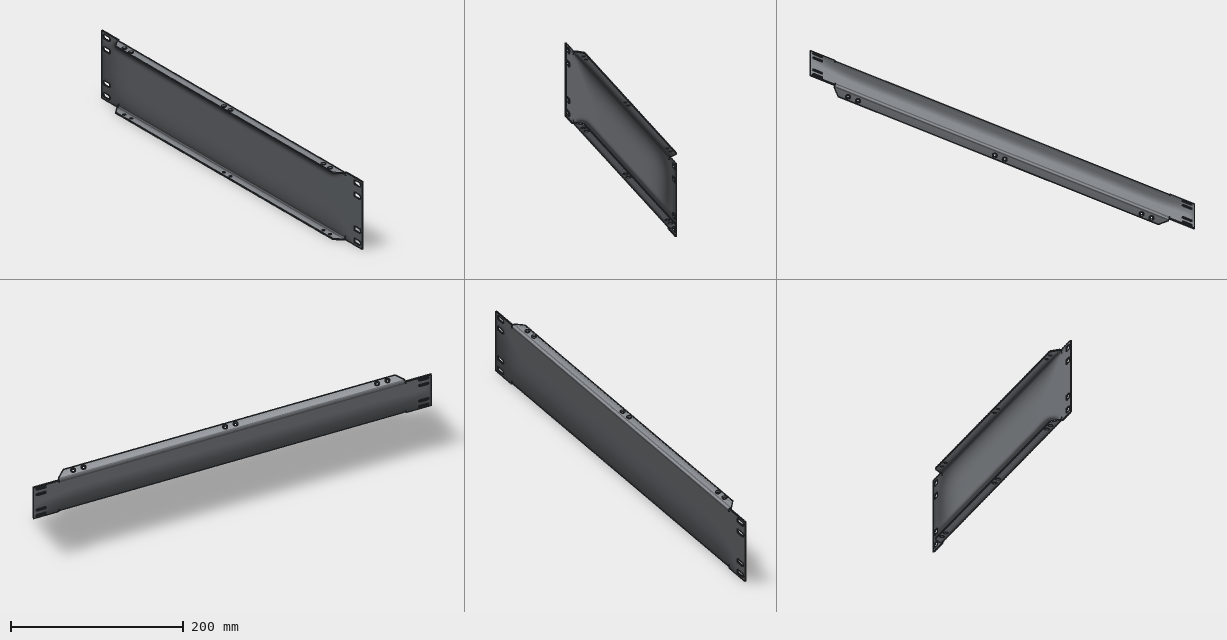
import cadquery as cq

panel_width = 482.5
panel_height = 88.5
flange_reach = 12.5
sheet = 1.5
bend_inner_radius = sheet
bend_outer_radius = bend_inner_radius + sheet

flange_end_inset = 31.5
flange_chamfer = 8.5
flange_length = panel_width - 2 * flange_end_inset

relief_width = 0.5
relief_depth = 4.5

slot_length = 12.0
slot_height = 6.0
slot_corner_radius = 2.0
slot_end_inset = 9.0
slot_levels = (22.0, 38.0)

hole_diameter = 3.15
countersink_diameter = 6.0
countersink_angle = 90
hole_lip_inset = 4.5
pair_spacing = 12.5
outer_pair_offset = 184.5


def make_plate():
    """Full-width flat plate."""
    return cq.Workplane("XY").box(panel_width, sheet, panel_height).translate((0, -sheet / 2, 0))


def make_channel():
    """Bent channel as long as the flanges, with chamfered lip corners."""
    outside = (
        cq.Workplane("XY")
        .box(flange_length, flange_reach, panel_height)
        .translate((0, -flange_reach / 2, 0))
        .edges("|X and >Y")
        .fillet(bend_outer_radius)
        .edges("|Z and <Y")
        .chamfer(flange_chamfer)
    )
    inside = (
        cq.Workplane("XY")
        .box(flange_length, flange_reach, panel_height - 2 * sheet)
        .translate((0, -sheet - flange_reach / 2, 0))
        .edges("|X and >Y")
        .fillet(bend_inner_radius)
    )
    return outside.cut(inside)


def make_end_strips():
    """Flat plate ends beyond the flanges, separated from them by the relief slits."""
    middle = cq.Workplane("XY").box(flange_length, 2 * sheet, panel_height)
    strips = make_plate().cut(middle)
    relief_center = (flange_length + relief_width) / 2
    relief_level = (panel_height - relief_depth) / 2
    reliefs = (
        cq.Workplane("XZ")
        .rarray(2 * relief_center, 2 * relief_level, 2, 2)
        .rect(relief_width, relief_depth)
        .extrude(sheet)
    )
    return strips.cut(reliefs)


def make_slots():
    """Cutters for the rounded mounting slots at both panel ends."""
    slot_x = panel_width / 2 - slot_end_inset
    slot_zs = [side * level for side in (-1, 1) for level in slot_levels]
    centers = [(side * slot_x, z) for side in (-1, 1) for z in slot_zs]
    return (
        cq.Workplane("XZ")
        .pushPoints(centers)
        .rect(slot_length, slot_height)
        .extrude(sheet)
        .edges("|Y")
        .fillet(slot_corner_radius)
    )


def drill_flanges(body):
    """Drill the hole pairs in both flanges, countersunk from outside."""
    hole_y = hole_lip_inset - flange_reach
    pair_centers = (-outer_pair_offset, 0, outer_pair_offset)
    hole_xs = [center + side * pair_spacing / 2 for center in pair_centers for side in (-1, 1)]
    for outward in (-1, 1):
        face = cq.Plane(origin=(0, 0, outward * panel_height / 2), xDir=(1, 0, 0), normal=(0, 0, outward))
        points = [(x, outward * hole_y) for x in hole_xs]
        body = (
            cq.Workplane(face)
            .add(body.val())
            .pushPoints(points)
            .cskHole(hole_diameter, countersink_diameter, countersink_angle, depth=2 * sheet)
        )
    return body


panel = make_channel().union(make_end_strips()).cut(make_slots())
result = drill_flanges(panel)